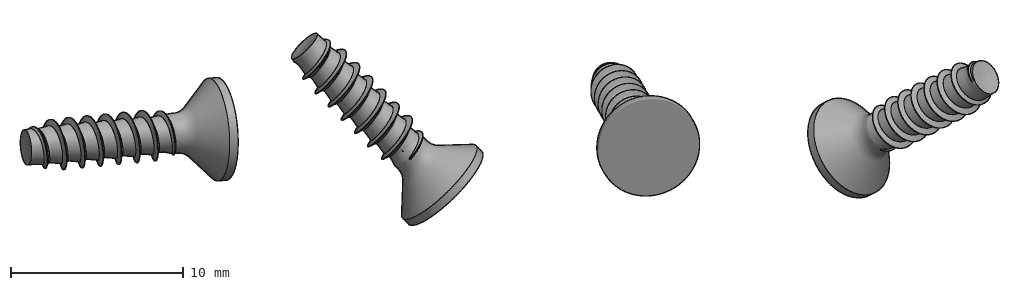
import cadquery as cq
import math

length = 12.0
head_radius = 3.0
rim_height = 0.54
rim_edge_radius = 0.04
neck_radius = 1.18
neck_fillet = 1.13
neck_end_depth = 3.12
core_radius = 1.03
core_start_depth = 3.62
tip_dish_radius = 0.97
tip_dish_depth = 0.1

turns = 8
thread_length = 8.95
thread_start_depth = length - thread_length
pitch = thread_length / turns
crest_radius = 1.5
crest_width = 0.04
kink_radius = 1.2
kink_offset = 0.12
head_flank_offset = 0.24
root_radius = 1.14
root_offset = 0.13
root_taper_end = 0.8
foot_radius = 1.02
embedded_radius = 0.91
run_in_height = 0.45
run_in_turns = 1.0
run_out_turns = 1.5
lowest_height = 0.01
segments_per_turn = 2
points_per_segment = 12

thread_profile = [
    (-head_flank_offset, embedded_radius),
    (-head_flank_offset, foot_radius),
    (-kink_offset, kink_radius),
    (-crest_width / 2, crest_radius),
    (crest_width / 2, crest_radius),
    (root_offset, root_radius),
    (root_taper_end, foot_radius),
    (root_taper_end, embedded_radius),
]


def make_blank():
    """Head, filleted neck and core, revolved about Y."""
    diagonal = math.sqrt(0.5)
    cone_end_radius = neck_radius + neck_fillet * (1 - diagonal)
    cone_end_depth = rim_height + head_radius - cone_end_radius
    fillet_end_depth = cone_end_depth + neck_fillet * diagonal
    half_angle = math.radians(45 / 2)
    fillet_middle = (
        neck_radius + neck_fillet * (1 - math.cos(half_angle)),
        -fillet_end_depth + neck_fillet * math.sin(half_angle),
    )
    blank = (
        cq.Workplane("XY")
        .lineTo(head_radius, 0)
        .lineTo(head_radius, -rim_height)
        .lineTo(cone_end_radius, -cone_end_depth)
        .threePointArc(fillet_middle, (neck_radius, -fillet_end_depth))
        .lineTo(neck_radius, -neck_end_depth)
        .lineTo(core_radius, -core_start_depth)
        .lineTo(core_radius, -length)
        .lineTo(0, -length)
        .close()
        .revolve(360, (0, 0), (0, 1))
    )
    return blank.faces(">Y").edges().fillet(rim_edge_radius)


def thread_height(turn):
    """Share of the full thread height, growing at the neck and fading at the tip."""
    run_in = run_in_height + (1 - run_in_height) * turn / run_in_turns
    run_out = (turns - turn) / run_out_turns
    return max(lowest_height, min(1.0, run_in, run_out))


def helix_point(turn, offset, radius):
    """Point of a profile corner after a number of turns, starting from -Z."""
    if radius > foot_radius:
        radius = foot_radius + (radius - foot_radius) * thread_height(turn)
    angle = 2 * math.pi * turn
    depth = thread_start_depth + pitch * turn + offset
    return cq.Vector(radius * math.sin(angle), -depth, -radius * math.cos(angle))


def helix_edge(segment, offset, radius):
    """Helical edge traced by one profile corner along one segment of the thread."""
    step = 1 / (segments_per_turn * points_per_segment)
    first_turn = segment / segments_per_turn
    points = [
        helix_point(first_turn + i * step, offset, radius)
        for i in range(points_per_segment + 1)
    ]
    return cq.Edge.makeSpline(points)


def profile_face(turn):
    """Flat end of the thread."""
    corners = [helix_point(turn, offset, radius) for offset, radius in thread_profile]
    return cq.Face.makeFromWires(cq.Wire.makePolygon(corners, close=True))


def make_thread():
    """Solid ridge bounded by ruled faces between neighbouring helical edges."""
    faces = [profile_face(0), profile_face(turns)]
    for segment in range(turns * segments_per_turn):
        edges = [helix_edge(segment, offset, radius) for offset, radius in thread_profile]
        neighbours = edges[1:] + edges[:1]
        faces += [cq.Face.makeRuledSurface(a, b) for a, b in zip(edges, neighbours)]
    return cq.Workplane(cq.Solid.makeSolid(cq.Shell.makeShell(faces)).fix())


def make_beyond_tip():
    """Block covering the part of the thread that overshoots the tip face."""
    return (
        cq.Workplane("XZ", origin=(0, -length, 0))
        .circle(head_radius)
        .extrude(2 * pitch)
    )


def make_tip_dish():
    """Shallow cone hollowed into the tip face."""
    return (
        cq.Workplane("XY")
        .moveTo(0, -length)
        .lineTo(tip_dish_radius, -length)
        .lineTo(0, -length + tip_dish_depth)
        .close()
        .revolve(360, (0, 0), (0, 1))
    )


result = make_blank().union(make_thread()).cut(make_beyond_tip()).cut(make_tip_dish())